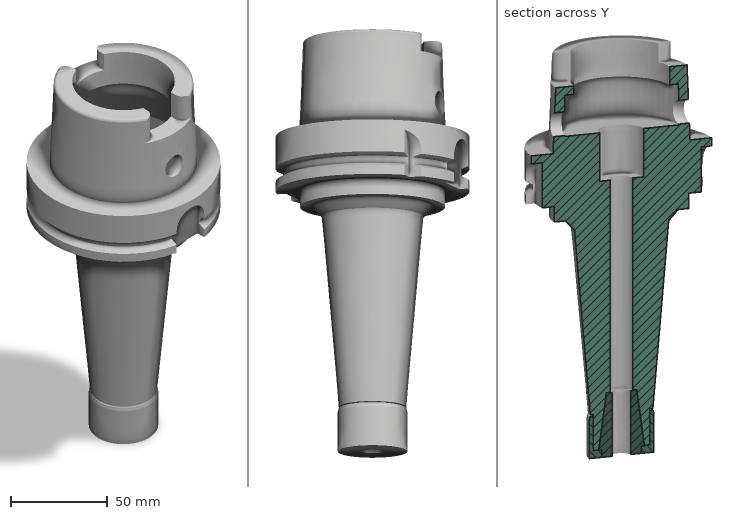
import cadquery as cq
import math

TOTAL_HEIGHT = 215.0
FLANGE_TOP = 165.0
FLANGE_BOTTOM = 136.3
COLLAR_BOTTOM = 128.1
NECK_TOP = 123.0
NECK_BOTTOM = 23.2

FLANGE_DIAMETER = 100.0
FLANGE_RADIUS = FLANGE_DIAMETER / 2
SHANK_BASE_RADIUS = 38.0
SHANK_TOP_RADIUS = 36.0
SHANK_EDGE_FILLET = 1.7
COLLAR_RADIUS = 37.5
NECK_CONE_RADIUS = 31.2
NECK_TOP_RADIUS = 26.2
NECK_BOTTOM_RADIUS = 17.5

GROOVE_RADIUS = 46.2
GROOVE_TOP = 148.1
GROOVE_FLOOR_TOP = 146.6
GROOVE_FLOOR_BOTTOM = 143.2
GROOVE_BOTTOM = 141.3

MOUTH_RADIUS = 26.5
CHAMBER_RADIUS = 31.4
CHAMBER_TOP = 195.2
CHAMBER_FLOOR = 173.5
COOLANT_RADIUS = 12.0
COOLANT_DEPTH = 25.8
PASSAGE_RADIUS = 6.0

CROSS_HOLE_RADIUS = 6.2
CROSS_HOLE_LEVEL = 180.2

DRIVE_SLOT_HALF_WIDTH = 10.0
DRIVE_FLARE_START = 27.5
DRIVE_FLARE_RADIUS = 5.0
LEFT_DRIVE_DEPTH = 9.9
RIGHT_DRIVE_DEPTH = 15.0

KEYWAY_WIDTH = 20.0
KEYWAY_HALF_WIDTH = KEYWAY_WIDTH / 2
KEYWAY_TOP = 160.4
KEYWAY_FLOOR = 44.0
NOTCH_FLOOR = 32.5
NOTCH_INNER_WALL = 31.2

NUT_DIAMETER = 36.0
NUT_RADIUS = NUT_DIAMETER / 2
NUT_TOP = 22.5
NUT_CHAMFER_HEIGHT = 2.0
NUT_CHAMFER_WIDTH = 0.5
NUT_LIP_THICKNESS = 4.0
NUT_LIP_RADIUS = 10.8
NOSE_RADIUS = 15.7
COLLET_BASE_RADIUS = 12.5
COLLET_HEIGHT = 34.2
COLLET_HALF_ANGLE = 8.0
COLLET_BORE_RADIUS = 5.0
COLLET_TOP_RADIUS = COLLET_BASE_RADIUS - (COLLET_HEIGHT - NUT_LIP_THICKNESS) * math.tan(
    math.radians(COLLET_HALF_ANGLE)
)


def revolve_profile(points):
    """Revolve a closed outline of (radius, height) points about the Z axis."""
    return cq.Workplane("XZ").polyline(points).close().revolve(360, (0, 0, 0), (0, 1, 0))


def holder_blank():
    """Outer shape: threaded nose, tapered neck, collar, grooved flange and tapered shank."""
    blank = revolve_profile([
        (0, NUT_LIP_THICKNESS),
        (NOSE_RADIUS, NUT_LIP_THICKNESS),
        (NOSE_RADIUS, NECK_BOTTOM),
        (NECK_BOTTOM_RADIUS, NECK_BOTTOM),
        (NECK_TOP_RADIUS, NECK_TOP),
        (NECK_CONE_RADIUS, COLLAR_BOTTOM),
        (COLLAR_RADIUS, COLLAR_BOTTOM),
        (COLLAR_RADIUS, FLANGE_BOTTOM),
        (FLANGE_RADIUS, FLANGE_BOTTOM),
        (FLANGE_RADIUS, GROOVE_BOTTOM),
        (GROOVE_RADIUS, GROOVE_FLOOR_BOTTOM),
        (GROOVE_RADIUS, GROOVE_FLOOR_TOP),
        (FLANGE_RADIUS, GROOVE_TOP),
        (FLANGE_RADIUS, FLANGE_TOP),
        (SHANK_BASE_RADIUS, FLANGE_TOP),
        (SHANK_TOP_RADIUS, TOTAL_HEIGHT),
        (0, TOTAL_HEIGHT),
    ])
    return blank.faces(">Z").edges().fillet(SHANK_EDGE_FILLET)


def holder_bore():
    """Stepped bore from the shank end down to the top of the collet."""
    coolant_floor = CHAMBER_FLOOR - COOLANT_DEPTH
    return revolve_profile([
        (0, COLLET_HEIGHT),
        (PASSAGE_RADIUS, COLLET_HEIGHT),
        (PASSAGE_RADIUS, coolant_floor),
        (COOLANT_RADIUS, coolant_floor),
        (COOLANT_RADIUS, CHAMBER_FLOOR),
        (CHAMBER_RADIUS, CHAMBER_FLOOR),
        (CHAMBER_RADIUS, CHAMBER_TOP),
        (MOUTH_RADIUS, CHAMBER_TOP),
        (MOUTH_RADIUS, TOTAL_HEIGHT),
        (0, TOTAL_HEIGHT),
    ])


def cross_hole():
    hole = cq.Workplane("YZ").center(0, CROSS_HOLE_LEVEL).circle(CROSS_HOLE_RADIUS)
    return hole.extrude(FLANGE_RADIUS, both=True)


def drive_slot(side, depth):
    """Slot in the shank end on the +X (side = 1) or -X (side = -1) half."""
    flare_end = DRIVE_FLARE_START + DRIVE_FLARE_RADIUS
    flare_half_width = DRIVE_SLOT_HALF_WIDTH + DRIVE_FLARE_RADIUS
    mid_offset = DRIVE_FLARE_RADIUS * math.sin(math.radians(45))
    mid_x = DRIVE_FLARE_START + mid_offset
    mid_y = flare_half_width - mid_offset
    return (
        cq.Workplane("XY")
        .workplane(offset=TOTAL_HEIGHT - depth)
        .moveTo(0, -DRIVE_SLOT_HALF_WIDTH)
        .lineTo(side * DRIVE_FLARE_START, -DRIVE_SLOT_HALF_WIDTH)
        .threePointArc((side * mid_x, -mid_y), (side * flare_end, -flare_half_width))
        .lineTo(side * flare_end, -SHANK_BASE_RADIUS)
        .lineTo(side * SHANK_BASE_RADIUS, -SHANK_BASE_RADIUS)
        .lineTo(side * SHANK_BASE_RADIUS, SHANK_BASE_RADIUS)
        .lineTo(side * flare_end, SHANK_BASE_RADIUS)
        .lineTo(side * flare_end, flare_half_width)
        .threePointArc((side * mid_x, mid_y), (side * DRIVE_FLARE_START, DRIVE_SLOT_HALF_WIDTH))
        .lineTo(0, DRIVE_SLOT_HALF_WIDTH)
        .close()
        .extrude(depth)
    )


def flange_keyway(side, floor, centre_y):
    """Round-topped slot, open at the flange underside, cut along X from the rim to its flat floor."""
    arch_centre = KEYWAY_TOP - KEYWAY_HALF_WIDTH
    return (
        cq.Workplane("YZ")
        .workplane(offset=side * floor)
        .moveTo(centre_y - KEYWAY_HALF_WIDTH, FLANGE_BOTTOM)
        .lineTo(centre_y - KEYWAY_HALF_WIDTH, arch_centre)
        .threePointArc((centre_y, KEYWAY_TOP), (centre_y + KEYWAY_HALF_WIDTH, arch_centre))
        .lineTo(centre_y + KEYWAY_HALF_WIDTH, FLANGE_BOTTOM)
        .close()
        .extrude(side * (FLANGE_RADIUS - floor))
    )


def collet_envelope():
    """Collet envelope without its bore; also the shape of its seat in the holder and nut."""
    return revolve_profile([
        (0, 0),
        (NUT_LIP_RADIUS, 0),
        (NUT_LIP_RADIUS, NUT_LIP_THICKNESS),
        (COLLET_BASE_RADIUS, NUT_LIP_THICKNESS),
        (COLLET_TOP_RADIUS, COLLET_HEIGHT),
        (0, COLLET_HEIGHT),
    ])


def make_holder():
    holder = holder_blank().cut(holder_bore()).cut(cross_hole())
    holder = holder.cut(drive_slot(-1, LEFT_DRIVE_DEPTH)).cut(drive_slot(1, RIGHT_DRIVE_DEPTH))
    for side in (-1, 1):
        holder = holder.cut(flange_keyway(side, KEYWAY_FLOOR, 0))
    notch_centre = NOTCH_INNER_WALL + KEYWAY_HALF_WIDTH
    holder = holder.cut(flange_keyway(-1, NOTCH_FLOOR, notch_centre))
    return holder.cut(collet_envelope())


def make_nut():
    """Cap nut around the holder nose, with a lip under the collet and a chamfered top edge."""
    return revolve_profile([
        (NUT_LIP_RADIUS, 0),
        (NUT_RADIUS, 0),
        (NUT_RADIUS, NUT_TOP - NUT_CHAMFER_HEIGHT),
        (NUT_RADIUS - NUT_CHAMFER_WIDTH, NUT_TOP),
        (NOSE_RADIUS, NUT_TOP),
        (NOSE_RADIUS, NUT_LIP_THICKNESS),
        (NUT_LIP_RADIUS, NUT_LIP_THICKNESS),
    ])


def make_collet():
    return collet_envelope().faces(">Z").workplane().circle(COLLET_BORE_RADIUS).cutThruAll()


holder = make_holder()
nut = make_nut()
collet = make_collet()

result = cq.Compound.makeCompound([holder.val(), nut.val(), collet.val()])